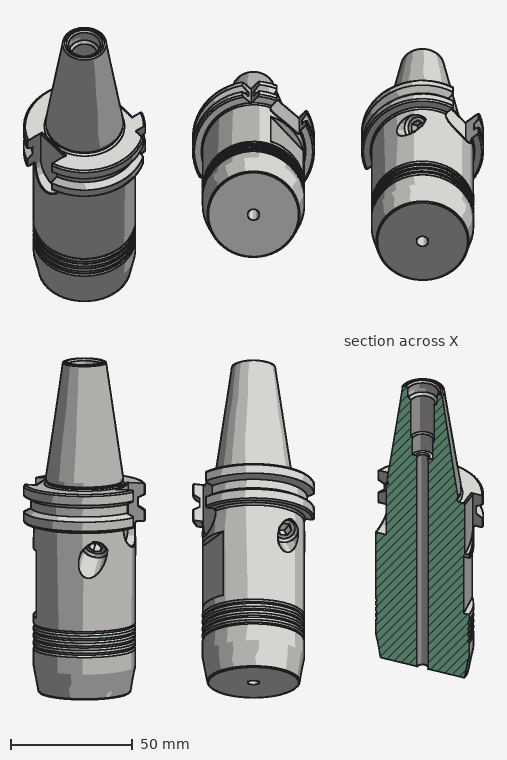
import cadquery as cq
import math

top_z = 47.8
bottom_z = -90.0
taper_collar_z = -1.7
flange_top_z = -3.2
flange_bottom_z = -19.1
slot_end_z = -28.1
ridge_top_z = -61.1
nose_top_z = -79.0

gauge_radius = 31.75 / 2
taper_slope = 7 / 48
taper_top_radius = gauge_radius - taper_slope * top_z
taper_top_chamfer_width = 0.8
taper_top_chamfer_height = 0.4
neck_radius = gauge_radius - 0.5
neck_chamfer = 0.4
neck_flare_radius = 16.5
neck_flare_height = 0.5

flange_radius = 25.0
flange_chamfer = 0.7
groove_center_z = -11.1
groove_root_radius = 44.3 / 2
groove_mouth_half = 3.5
groove_root_half = groove_mouth_half - (flange_radius - groove_root_radius) * math.tan(math.radians(30))
root_flare_width = 0.5
root_flare_height = 0.95

slot_half_width = 16.1 / 2
front_slot_depth_y = 16.4
back_slot_depth_y = 19.0
slot_corner_chamfer = 0.5
slot_arc_chamfer = 0.3
slot_floor_chamfer = 0.6
notch_corner = 15.0

barrel_radius = 20.95
grip_groove_count = 4
grip_groove_pitch = 3.0
grip_groove_width = 1.8
grip_groove_depth = 0.5
nose_angle = 10.0
nose_edge_chamfer = 0.5
nose_bottom_radius = barrel_radius - (nose_top_z - bottom_z) * math.tan(math.radians(nose_angle))

mouth_radius = 7.3
counterbore_radius = 6.5
counterbore_depth = 3.4
lead_in_radius = 6.2
lead_in_depth = 5.1
thread_radius = 5.1
thread_depth = 24.0
floor_radius = 4.4
floor_depth = 33.0
coolant_radius = 2.4
coolant_chamfer = 0.6

screw_tilt = 42.0
screw_y = -8.9
shoulder_x = -14.85
shoulder_z = -27.6
access_radius = 5.35
access_reach = 20.0
screw_radius = 4.2
screw_length = 10.0
shoulder_depth = access_radius - screw_radius
hex_across_flats = 5.0
hex_depth = 5.0

flat_top_z = -30.0
flat_bottom_z = -57.8
flat_distance = 18.35
flat_turn = 6.3

selection_tolerance = 0.01


def taper_and_barrel():
    """Revolved taper, neck, barrel and conical nose, without the flange."""
    profile = [
        (0, top_z),
        (taper_top_radius - taper_top_chamfer_width, top_z),
        (taper_top_radius + taper_slope * taper_top_chamfer_height, top_z - taper_top_chamfer_height),
        (gauge_radius, 0),
        (gauge_radius, taper_collar_z),
        (neck_radius, taper_collar_z - neck_chamfer),
        (neck_radius, flange_top_z + neck_flare_height),
        (neck_flare_radius, flange_top_z),
        (neck_flare_radius, flange_bottom_z),
        (barrel_radius, flange_bottom_z),
    ]
    for index in range(grip_groove_count):
        groove_top = ridge_top_z - index * grip_groove_pitch
        profile += [
            (barrel_radius, groove_top),
            (barrel_radius - grip_groove_depth, groove_top - grip_groove_width / 2),
            (barrel_radius, groove_top - grip_groove_width),
        ]
    profile += [
        (barrel_radius, nose_top_z),
        (nose_bottom_radius, bottom_z + nose_edge_chamfer),
        (nose_bottom_radius - nose_edge_chamfer, bottom_z),
        (0, bottom_z),
    ]
    return cq.Workplane("XZ").polyline(profile).close().revolve(360, (0, 0), (0, 1))


def flange():
    """Flange disc with bevelled rims, a V groove around its edge and a flare onto the barrel."""
    rim = flange_radius - flange_chamfer
    profile = [
        (0, flange_top_z),
        (rim, flange_top_z),
        (flange_radius, flange_top_z - flange_chamfer),
        (flange_radius, groove_center_z + groove_mouth_half),
        (groove_root_radius, groove_center_z + groove_root_half),
        (groove_root_radius, groove_center_z - groove_root_half),
        (flange_radius, groove_center_z - groove_mouth_half),
        (flange_radius, flange_bottom_z + flange_chamfer),
        (rim, flange_bottom_z),
        (barrel_radius + root_flare_width, flange_bottom_z),
        (barrel_radius, flange_bottom_z - root_flare_height),
        (0, flange_bottom_z - root_flare_height),
    ]
    return cq.Workplane("XZ").polyline(profile).close().revolve(360, (0, 0), (0, 1))


def slot(floor_y, side):
    """Round-ended drive slot cutter, open at the flange top, with a bevel over its floor."""
    arc_center_z = slot_end_z + slot_half_width
    cutter = (
        cq.Workplane("XZ", origin=(0, side * floor_y, 0))
        .moveTo(-slot_half_width, taper_collar_z)
        .lineTo(-slot_half_width, arc_center_z)
        .threePointArc((0, slot_end_z), (slot_half_width, arc_center_z))
        .lineTo(slot_half_width, taper_collar_z)
        .close()
        .extrude(-side * flange_radius)
    )
    bevel = (
        cq.Workplane("YZ", origin=(-slot_half_width, 0, 0))
        .polyline([
            (side * floor_y, flange_top_z),
            (side * (floor_y - slot_floor_chamfer), flange_top_z),
            (side * floor_y, flange_top_z - slot_floor_chamfer),
        ])
        .close()
        .extrude(2 * slot_half_width)
    )
    return cutter.union(bevel)


def is_slot_corner(edge):
    """True for the upright edges where a slot wall meets the flange rim."""
    center = edge.Center()
    on_rim = abs(math.hypot(center.x, center.y) - flange_radius) < selection_tolerance
    return on_rim and abs(abs(center.x) - slot_half_width) < selection_tolerance and edge.geomType() == "LINE"


def slotted_flange():
    """Flange with both drive slots, their bevelled corners and the index notch."""
    body = flange().cut(slot(front_slot_depth_y, -1)).cut(slot(back_slot_depth_y, 1))
    corners = [edge for edge in body.edges().vals() if is_slot_corner(edge)]
    body = body.newObject(corners).chamfer(slot_corner_chamfer)
    notch = cq.Workplane("XY", origin=(notch_corner, notch_corner, flange_bottom_z)).box(
        flange_radius, flange_radius, flange_top_z - flange_bottom_z, centered=False
    )
    return body.cut(notch)


def center_bore():
    """Revolved cutter: pull stud counterbore and thread, then the coolant bore to the bottom."""
    mouth_drop = mouth_radius - counterbore_radius
    profile = [
        (0, top_z),
        (mouth_radius, top_z),
        (counterbore_radius, top_z - mouth_drop),
        (counterbore_radius, top_z - counterbore_depth),
        (lead_in_radius, top_z - lead_in_depth),
        (thread_radius, top_z - lead_in_depth - (lead_in_radius - thread_radius)),
        (thread_radius, top_z - thread_depth),
        (floor_radius, top_z - thread_depth - (thread_radius - floor_radius)),
        (floor_radius, top_z - floor_depth),
        (coolant_radius + coolant_chamfer, top_z - floor_depth),
        (coolant_radius, top_z - floor_depth - coolant_chamfer),
        (coolant_radius, bottom_z),
        (0, bottom_z),
    ]
    return cq.Workplane("XZ").polyline(profile).close().revolve(360, (0, 0), (0, 1))


def screw_plane():
    """Plane at the outer edge of the shoulder, its normal pointing outward and down."""
    tilt = math.radians(screw_tilt)
    return cq.Plane(
        origin=(shoulder_x, screw_y, shoulder_z),
        xDir=(0, 1, 0),
        normal=(-math.cos(tilt), 0, -math.sin(tilt)),
    )


def screw_hole():
    """Blind oblique hole: wide access bore, conical shoulder and the seat of the screw."""
    access = cq.Workplane(screw_plane()).circle(access_radius).extrude(access_reach)
    shoulder = (
        cq.Workplane(screw_plane())
        .circle(access_radius)
        .workplane(offset=-shoulder_depth)
        .circle(screw_radius)
        .loft(ruled=True)
    )
    return access.union(shoulder).union(screw_blank())


def screw_blank():
    """Plain cylinder of the screw, starting at the inner edge of the shoulder."""
    return (
        cq.Workplane(screw_plane())
        .workplane(offset=-shoulder_depth)
        .circle(screw_radius)
        .extrude(-screw_length)
    )


def clamping_screw():
    """Set screw with a hexagon socket."""
    corner_diameter = hex_across_flats / math.cos(math.radians(30))
    socket = (
        cq.Workplane(screw_plane())
        .workplane(offset=-shoulder_depth)
        .polygon(6, corner_diameter)
        .extrude(-hex_depth)
    )
    return screw_blank().cut(socket)


def back_flat():
    """Block that cuts the shallow flat into the back of the barrel."""
    return (
        cq.Workplane("XY", origin=(0, 0, flat_bottom_z))
        .transformed(rotate=(0, 0, flat_turn))
        .center(0, flat_distance + barrel_radius / 2)
        .rect(2 * barrel_radius, barrel_radius)
        .extrude(flat_top_z - flat_bottom_z)
    )


def is_slot_edge(edge):
    """True for the outer edges of the drive slots on the barrel surface."""
    center = edge.Center()
    below_flange = slot_end_z < center.z < flange_bottom_z
    slot_edge_y = math.sqrt(barrel_radius**2 - slot_half_width**2)
    on_front_or_back = abs(center.y) > slot_edge_y - selection_tolerance
    return below_flange and on_front_or_back and abs(center.x) < slot_half_width + selection_tolerance


def slotted_barrel():
    """Taper and barrel with the round slot ends, their bevelled arcs and the back flat."""
    body = taper_and_barrel()
    body = body.cut(slot(front_slot_depth_y, -1)).cut(slot(back_slot_depth_y, 1))
    rims = [edge for edge in body.edges().vals() if is_slot_edge(edge)]
    body = body.newObject(rims).chamfer(slot_arc_chamfer)
    return body.cut(back_flat())


def holder():
    """Tool holder body: taper, slotted flange and chuck barrel."""
    return slotted_barrel().union(slotted_flange()).cut(center_bore()).cut(screw_hole())


tool_holder = holder()
screw = clamping_screw()

result = cq.Compound.makeCompound([tool_holder.val(), screw.val()])